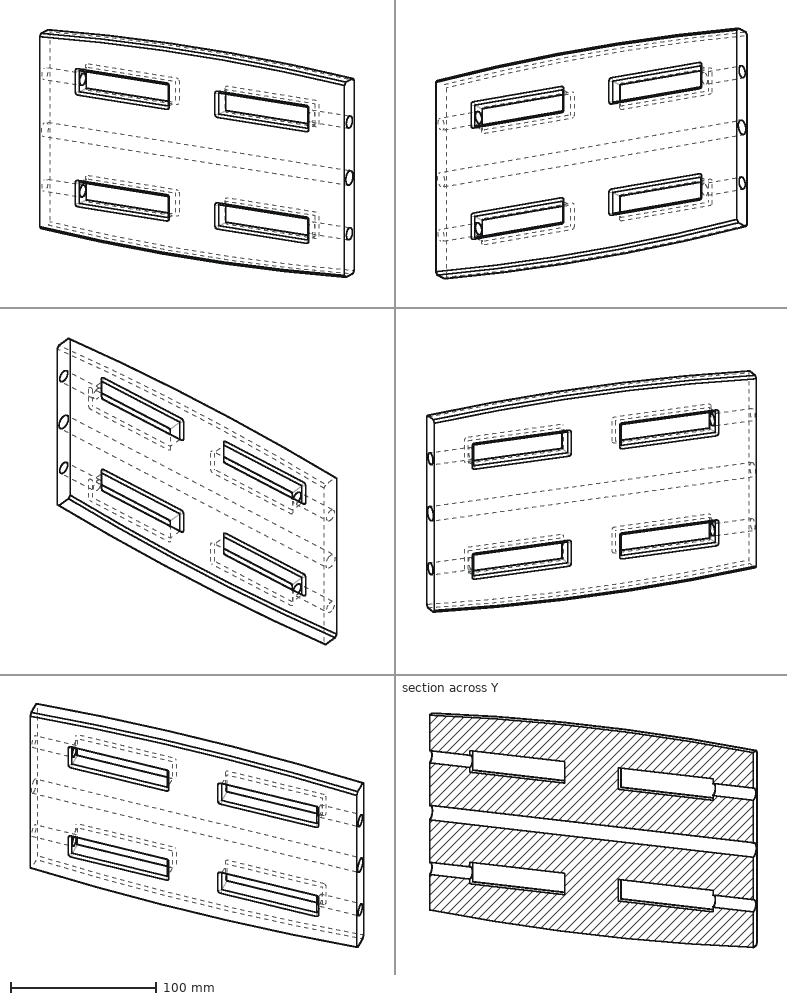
import cadquery as cq

LENGTH = 240.0
THICKNESS = 14.0
CROWN_HEIGHT = 149.0
END_HEIGHT = 140.2
EDGE_CHAMFER = 2.0

WINDOW_LENGTH = 70.0
WINDOW_HEIGHT = 15.0
WINDOW_CORNER_RADIUS = 0.12
WINDOW_X = 55.0
WINDOW_Z = 40.0

CENTRE_BORE_DIAMETER = 10.0
SIDE_BORE_DIAMETER = 8.5

BACK_Y = THICKNESS / 2


def make_plate():
    """Plate with arched long edges, chamfered on both faces."""
    half_length = LENGTH / 2
    half_end = END_HEIGHT / 2
    half_crown = CROWN_HEIGHT / 2
    plate = (
        cq.Workplane("XZ", origin=(0, BACK_Y, 0))
        .moveTo(-half_length, -half_end)
        .threePointArc((0, -half_crown), (half_length, -half_end))
        .lineTo(half_length, half_end)
        .threePointArc((0, half_crown), (-half_length, half_end))
        .close()
        .extrude(THICKNESS)
    )
    return plate.edges("%CIRCLE").chamfer(EDGE_CHAMFER)


def cut_window(plate, x, z):
    """Cut a round-cornered through window and chamfer its rim on both faces."""
    cutter = (
        cq.Workplane("XZ", origin=(x, BACK_Y, z))
        .rect(WINDOW_LENGTH, WINDOW_HEIGHT)
        .extrude(THICKNESS)
        .edges("|Y")
        .fillet(WINDOW_CORNER_RADIUS)
    )
    half_x = (WINDOW_LENGTH + EDGE_CHAMFER) / 2
    half_z = (WINDOW_HEIGHT + EDGE_CHAMFER) / 2
    around_window = cq.selectors.BoxSelector(
        (x - half_x, -THICKNESS, z - half_z),
        (x + half_x, THICKNESS, z + half_z),
    )
    rims = plate.cut(cutter).faces("<Y or >Y").edges(around_window)
    return rims.chamfer(EDGE_CHAMFER)


def make_bore(start_x, z, diameter, length):
    """Cylinder running toward +X from start_x."""
    return cq.Workplane("YZ", origin=(start_x, 0, z)).circle(diameter / 2).extrude(length)


result = make_plate()
for window_x in (-WINDOW_X, WINDOW_X):
    for window_z in (-WINDOW_Z, WINDOW_Z):
        result = cut_window(result, window_x, window_z)

result = result.cut(make_bore(-LENGTH / 2, 0, CENTRE_BORE_DIAMETER, LENGTH))

side_bore_length = LENGTH / 2 - WINDOW_X
for bore_start_x in (-LENGTH / 2, WINDOW_X):
    for bore_z in (-WINDOW_Z, WINDOW_Z):
        result = result.cut(make_bore(bore_start_x, bore_z, SIDE_BORE_DIAMETER, side_bore_length))